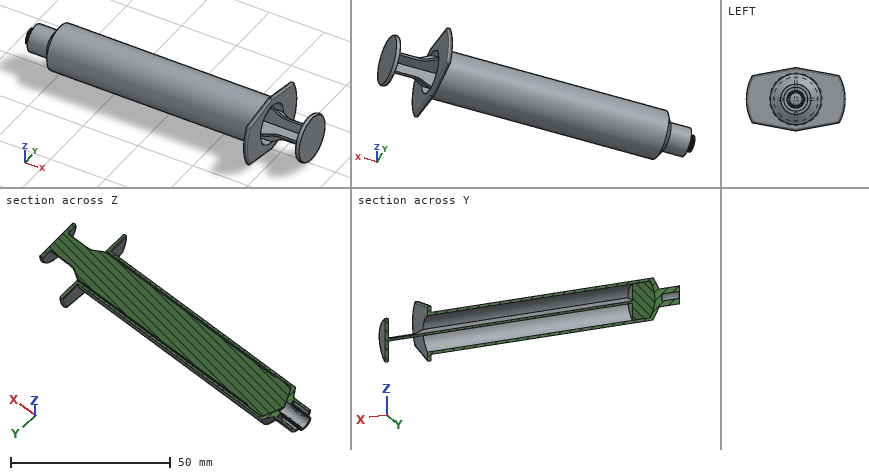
import cadquery as cq
import math

total_length = 103.0
collar_start_x = 2.0
shoulder_start_x = 9.0
shoulder_end_x = 11.0
flange_front_x = 87.0
flange_thickness = 1.3
flange_back_x = flange_front_x + flange_thickness

barrel_diameter = 16.0
wall = 0.98
bore_diameter = barrel_diameter - 2 * wall
collar_diameter = 9.5
collar_bore_diameter = collar_diameter - 2 * wall
nozzle_diameter = 5.5
nozzle_root_diameter = 4.8
nozzle_bore_diameter = 4.0
thread_pitch = 0.6
thread_crest = 0.2
thread_flank = 0.1
thread_embed = 0.05

flange_width = 31.0
flange_height = 19.9
flange_corner_z = 7.4
flange_edge_radius = 0.5
flange_corner_radius = 0.8

head_diameter = 16.5
head_thickness = 1.3
head_rim_bulge = 0.3
rib_width = 8.3
rib_thickness = 0.9
rib_flare_width = 13.4
rib_flare_end_x = 93.7
piston_length = 6.2
piston_cone_height = 3.2

bore_floor_x = shoulder_end_x + wall
piston_tip_x = bore_floor_x - piston_cone_height
nozzle_bore_end_x = piston_tip_x + piston_cone_height * nozzle_bore_diameter / bore_diameter
collar_floor_x = shoulder_start_x - wall


def revolve_about_x(points):
    """Revolve a closed (x, radius) outline about the X axis."""
    return cq.Workplane("XY").polyline(points).close().revolve(360, (0, 0, 0), (1, 0, 0))


def disc(x, diameter, length):
    """Cylinder along +X starting at x."""
    return cq.Workplane("YZ").workplane(offset=x).circle(diameter / 2).extrude(length)


def make_flange():
    """Finger flange with arc ends, peaked long sides and rounded rims."""
    corner_y = math.sqrt((flange_width / 2) ** 2 - flange_corner_z ** 2)
    flange = (
        cq.Workplane("YZ").workplane(offset=flange_front_x)
        .moveTo(0, flange_height / 2)
        .lineTo(corner_y, flange_corner_z)
        .threePointArc((flange_width / 2, 0), (corner_y, -flange_corner_z))
        .lineTo(0, -flange_height / 2)
        .lineTo(-corner_y, -flange_corner_z)
        .threePointArc((-flange_width / 2, 0), (-corner_y, flange_corner_z))
        .close()
        .extrude(flange_thickness)
    )
    flange = flange.edges("|X").edges("<Y or >Y").fillet(flange_corner_radius)
    return flange.faces("<X or >X").edges().fillet(flange_edge_radius)


def make_nozzle():
    """Nozzle core with a fine helical thread from the tip to the collar floor."""
    core = disc(0, nozzle_root_diameter, shoulder_start_x)
    root_radius = nozzle_root_diameter / 2 - thread_embed
    thread_length = collar_floor_x + 2 * thread_pitch
    path = cq.Wire.makeHelix(thread_pitch, thread_length, root_radius)
    profile = (
        cq.Workplane("XZ")
        .moveTo(root_radius, -thread_crest / 2 - thread_flank)
        .lineTo(nozzle_diameter / 2, -thread_crest / 2)
        .lineTo(nozzle_diameter / 2, thread_crest / 2)
        .lineTo(root_radius, thread_crest / 2 + thread_flank)
        .close()
    )
    ridge = profile.sweep(cq.Workplane(path), isFrenet=True)
    ridge = ridge.rotate((0, 0, 0), (0, 1, 0), 90).translate((-thread_pitch, 0, 0))
    ridge = ridge.intersect(disc(0, 2 * nozzle_diameter, collar_floor_x))
    return core.union(ridge)


def make_barrel():
    """Barrel, flange, collar and nozzle in one piece, bored for the plunger."""
    barrel = revolve_about_x([
        (collar_start_x, 0),
        (collar_start_x, collar_diameter / 2),
        (shoulder_start_x, collar_diameter / 2),
        (shoulder_end_x, barrel_diameter / 2),
        (flange_front_x, barrel_diameter / 2),
        (flange_front_x, 0),
    ])
    barrel = barrel.union(make_flange())
    barrel = barrel.cut(disc(collar_start_x, collar_bore_diameter, collar_floor_x - collar_start_x))
    barrel = barrel.union(make_nozzle())
    bore = revolve_about_x([
        (0, 0),
        (0, nozzle_bore_diameter / 2),
        (nozzle_bore_end_x, nozzle_bore_diameter / 2),
        (bore_floor_x, bore_diameter / 2),
        (flange_back_x, bore_diameter / 2),
        (flange_back_x, 0),
    ])
    return barrel.cut(bore)


def make_rib():
    """Flat rib of the plunger rod, flaring smoothly where it enters the barrel."""
    back_x = total_length - head_thickness
    start_x = bore_floor_x + piston_length / 2
    return (
        cq.Workplane("XY")
        .moveTo(start_x, -rib_flare_width / 2)
        .lineTo(flange_front_x, -rib_flare_width / 2)
        .spline([(rib_flare_end_x, -rib_width / 2)], tangents=[(1, 0), (1, 0)], includeCurrent=True)
        .lineTo(back_x, -rib_width / 2)
        .lineTo(back_x, rib_width / 2)
        .lineTo(rib_flare_end_x, rib_width / 2)
        .spline([(flange_front_x, rib_flare_width / 2)], tangents=[(-1, 0), (-1, 0)], includeCurrent=True)
        .lineTo(start_x, rib_flare_width / 2)
        .close()
        .extrude(rib_thickness / 2, both=True)
    )


def make_head():
    """Thumb disc with a bulged rim."""
    front_x = total_length - head_thickness
    edge_radius = head_diameter / 2 - head_rim_bulge
    return (
        cq.Workplane("XY")
        .moveTo(front_x, 0)
        .lineTo(front_x, edge_radius)
        .threePointArc((front_x + head_thickness / 2, head_diameter / 2), (total_length, edge_radius))
        .lineTo(total_length, 0)
        .close()
        .revolve(360, (0, 0, 0), (1, 0, 0))
    )


def make_plunger():
    """Coned piston, cross-shaped rod and thumb disc in one piece."""
    piston = revolve_about_x([
        (piston_tip_x, 0),
        (bore_floor_x, bore_diameter / 2),
        (bore_floor_x + piston_length, bore_diameter / 2),
        (bore_floor_x + piston_length, 0),
    ])
    head = make_head()
    rib = make_rib()
    ribs = rib.union(rib.rotate((0, 0, 0), (1, 0, 0), 90))
    return piston.union(ribs).union(head)


barrel = make_barrel()
plunger = make_plunger()
result = cq.Compound.makeCompound([barrel.solids().val(), plunger.solids().val()])